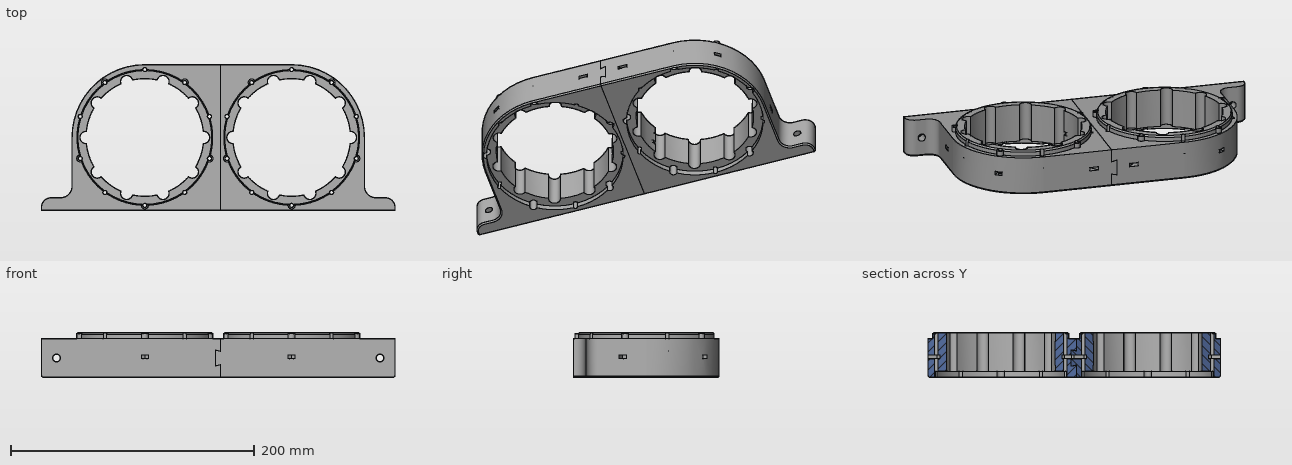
import cadquery as cq
import math

total_length = 291.2
plate_width = 120.0
total_height = 37.0
collar_height = 5.0
plate_height = total_height - collar_height

end_radius = plate_width / 2
bore_spacing = 121.0
bore_x = bore_spacing / 2
foot_thickness = 10.5
foot_tip_radius = 8.2
foot_root_radius = 9.3
bottom_chamfer = 1.2

bore_radius = 48.3
scallop_radius = 5.0
scallop_count = 10
collar_radius = 56.0
collar_chamfer_height = 1.5
collar_chamfer_width = 1.0
fit_clearance = 0.3
socket_radius = collar_radius + fit_clearance

screw_circle_radius = 56.0
screw_hole_radius = 3.2 / 2
screw_count = 10
first_screw_angle = 18.0
screw_pitch = 360.0 / screw_count

boss_radius = 5.8 / 2
boss_height = 4.0
counterbore_radius = 6.0 / 2
counterbore_depth = 21.8
first_nut_angle = first_screw_angle + screw_pitch
nut_count = screw_count // 2
nut_width = 5.8
nut_height = 3.0
nut_middle_z = 17.0
nut_corner_diameter = nut_width / math.cos(math.radians(30))

mount_hole_radius = 6.0 / 2
mount_hole_x = 133.0
mount_hole_z = plate_height / 2

joint_x = 2.0
tongue_length = 4.5
tongue_tip_height = 13.0
tongue_root_height = 10.8


def ring_points(radius, first_angle, count):
    """Evenly spaced points on a circle around the bore axis."""
    angles = [math.radians(first_angle + i * 360.0 / count) for i in range(count)]
    return [(radius * math.cos(angle), radius * math.sin(angle)) for angle in angles]


def rods(points, radius, height):
    """Upright cylinders that stand on the XY plane."""
    return cq.Workplane("XY").pushPoints(points).circle(radius).extrude(height)


screw_points = ring_points(screw_circle_radius, first_screw_angle, screw_count)
boss_points = ring_points(screw_circle_radius, first_nut_angle, nut_count)
counterbore_points = ring_points(screw_circle_radius, first_screw_angle, nut_count)
scallop_points = ring_points(bore_radius, 0, scallop_count)


def make_plate():
    """Both housings' plates in one piece: two rounded ends, a straight front and a foot at each end."""
    front_y = -plate_width / 2
    foot_back_y = front_y + foot_thickness
    wall_x = bore_x + end_radius
    rounded_back = cq.Workplane("XY").slot2D(2 * wall_x, plate_width).extrude(plate_height)
    straight_front = (
        cq.Workplane("XY", origin=(0, front_y / 2, 0))
        .rect(2 * wall_x, plate_width / 2)
        .extrude(plate_height)
    )
    feet = (
        cq.Workplane("XY", origin=(0, front_y + foot_thickness / 2, 0))
        .rect(total_length, foot_thickness)
        .extrude(plate_height)
        .edges("|Z and >Y")
        .fillet(foot_tip_radius)
    )
    plate = rounded_back.union(straight_front).union(feet)
    for x in (-wall_x, wall_x):
        foot_root = cq.selectors.NearestToPointSelector((x, foot_back_y, plate_height / 2))
        plate = plate.edges("|Z").edges(foot_root).fillet(foot_root_radius)
    plate = plate.faces("<Z").edges("not <Y").chamfer(bottom_chamfer)
    mount_holes = (
        cq.Workplane("XZ", origin=(0, 0, mount_hole_z))
        .pushPoints([(-mount_hole_x, 0), (mount_hole_x, 0)])
        .circle(mount_hole_radius)
        .extrude(plate_width)
    )
    return plate.cut(mount_holes)


def make_collar():
    """Chamfered collar on top of the plate, with its lower, plain bosses."""
    collar = (
        cq.Workplane("XY")
        .circle(collar_radius)
        .extrude(collar_height)
        .faces(">Z")
        .chamfer(collar_chamfer_height, collar_chamfer_width)
    )
    bosses = rods(boss_points, boss_radius, boss_height)
    return collar.union(bosses).translate((0, 0, plate_height))


def make_bore():
    """Everything removed around one bore: scalloped opening, bottom socket, screw holes."""
    opening = cq.Workplane("XY").circle(bore_radius).extrude(total_height)
    scallops = rods(scallop_points, scallop_radius, total_height)
    socket = cq.Workplane("XY").circle(socket_radius).extrude(collar_height)
    screw_holes = rods(screw_points, screw_hole_radius, total_height)
    counterbores = rods(counterbore_points, counterbore_radius, counterbore_depth)
    return opening.union(scallops).union(socket).union(screw_holes).union(counterbores)


def make_nut_pocket():
    """Hexagonal nut seat that opens outward, pointing along +X from the bore axis."""
    base_z = nut_middle_z - nut_height / 2
    seat = (
        cq.Workplane("XY", origin=(screw_circle_radius, 0, base_z))
        .polygon(6, nut_corner_diameter)
        .extrude(nut_height)
    )
    slot_length = plate_width / 4
    slot = (
        cq.Workplane("XY", origin=(screw_circle_radius + slot_length / 2, 0, base_z))
        .rect(slot_length, nut_width)
        .extrude(nut_height)
    )
    return seat.union(slot)


def make_joint_side():
    """Space on the right of the joint, with the dovetail tongue that reaches to the left."""
    tip_x = joint_x - tongue_length
    middle_z = plate_height / 2
    return (
        cq.Workplane("XZ", origin=(0, plate_width, 0))
        .moveTo(joint_x, -3)
        .lineTo(joint_x, middle_z - tongue_root_height / 2)
        .lineTo(tip_x, middle_z - tongue_tip_height / 2)
        .lineTo(tip_x, middle_z + tongue_tip_height / 2)
        .lineTo(joint_x, middle_z + tongue_root_height / 2)
        .lineTo(joint_x, total_height + 3)
        .lineTo(total_length, total_height + 3)
        .lineTo(total_length, -3)
        .close()
        .extrude(2 * plate_width)
    )


both = make_plate()
for side in (-1, 1):
    at = (side * bore_x, 0, 0)
    both = both.union(make_collar().translate(at)).cut(make_bore().translate(at))
    for i in range(nut_count):
        pocket = make_nut_pocket().rotate((0, 0, 0), (0, 0, 1), first_nut_angle + i * 360.0 / nut_count)
        both = both.cut(pocket.translate(at))

joint_side = make_joint_side()
left_housing = both.cut(joint_side)
right_housing = both.intersect(joint_side)

result = cq.Compound.makeCompound([left_housing.val(), right_housing.val()])